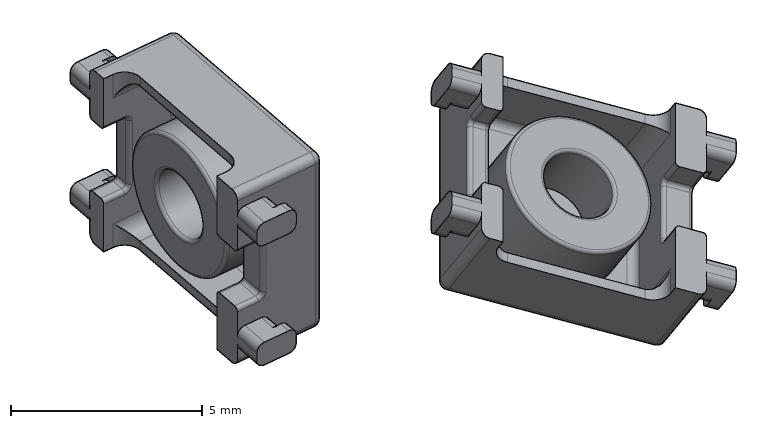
import cadquery as cq

OVERALL_WIDTH = 8.22
BLOCK_WIDTH = 6.5
BLOCK_DEPTH = 2.79
BLOCK_HEIGHT = 5.87
BLOCK_FILLET = 0.25

LEFT_WALL = 0.62
RIGHT_WALL = 0.905
END_WALL = 0.305
FLOOR_THICKNESS = 0.345
CAVITY_CORNER_RADIUS = 0.5
FLOOR_FILLET = 0.25
CAVITY_WIDTH = BLOCK_WIDTH - LEFT_WALL - RIGHT_WALL
CAVITY_HEIGHT = BLOCK_HEIGHT - 2 * END_WALL
CAVITY_X = (LEFT_WALL - RIGHT_WALL) / 2
FLOOR_Y = BLOCK_DEPTH - FLOOR_THICKNESS

NOTCH_DEPTH = 0.805
END_NOTCH_RADIUS = 0.5
LEFT_NOTCH_HEIGHT = 2.4
RIGHT_NOTCH_HEIGHT = 1.89
SIDE_NOTCH_FILLET = 0.12

TAB_HEIGHT = 0.77
TAB_SPACING = 4.06
TAB_ROUND = 0.25
TAB_NECK_DEPTH = 1.03
TAB_HEAD_DEPTH = 1.28
TAB_HEAD_LENGTH = 0.35
TAB_LENGTH = (OVERALL_WIDTH - BLOCK_WIDTH) / 2

COLLAR_DIAMETER = 4.2
COLLAR_BORE = 2.0
COLLAR_FRONT_Y = 0.6
COLLAR_EDGE_FILLET = 0.1

SIDES = (-1, 1)


def box_from_front(width, depth, height, x=0.0, z=0.0):
    """Box centred on (x, z) that reaches back from the plane Y = 0."""
    box = cq.Workplane("XY").box(width, depth, height, centered=(True, False, True))
    return box.translate((x, 0, z))


def make_block():
    block = box_from_front(BLOCK_WIDTH, BLOCK_DEPTH, BLOCK_HEIGHT)
    return block.edges("|Y or >Y").fillet(BLOCK_FILLET)


def make_cavity():
    cavity = box_from_front(CAVITY_WIDTH, FLOOR_Y, CAVITY_HEIGHT, CAVITY_X)
    return cavity.edges("|Y").fillet(CAVITY_CORNER_RADIUS).faces(">Y").edges().fillet(FLOOR_FILLET)


def make_end_notch():
    """Opening as wide as the cavity, through both end walls."""
    notch = box_from_front(CAVITY_WIDTH, NOTCH_DEPTH, BLOCK_HEIGHT, CAVITY_X)
    return notch.edges("|Z and >Y").fillet(END_NOTCH_RADIUS)


def cut_side_notch(body, side, wall, notch_height):
    """Cut an opening through one side wall and round its outer and inner rims."""
    outer_x = side * BLOCK_WIDTH / 2
    inner_x = side * (BLOCK_WIDTH / 2 - wall)
    notch = box_from_front(wall, NOTCH_DEPTH, notch_height, (outer_x + inner_x) / 2)
    body = body.cut(notch.edges("|X and >Y").fillet(SIDE_NOTCH_FILLET))

    margin = 0.01
    for rim_x in (outer_x, inner_x):
        rim = cq.selectors.BoxSelector(
            (rim_x - margin, margin, -notch_height / 2 - margin),
            (rim_x + margin, NOTCH_DEPTH + margin, notch_height / 2 + margin),
        )
        body = body.edges(rim).fillet(SIDE_NOTCH_FILLET)
    return body


def make_tab_bar(depth, length):
    """Bar along X with four rounded long edges, centred on X and Z."""
    return box_from_front(length, depth, TAB_HEIGHT).edges("|X").fillet(TAB_ROUND)


def make_tab(side, z):
    """Neck that leaves the side wall, ending in a deeper head."""
    neck_x = side * (BLOCK_WIDTH + TAB_LENGTH) / 2
    root = LEFT_WALL / 2
    neck = make_tab_bar(TAB_NECK_DEPTH, TAB_LENGTH + root).translate((neck_x - side * root / 2, 0, z))
    head_x = side * (OVERALL_WIDTH - TAB_HEAD_LENGTH) / 2
    head = make_tab_bar(TAB_HEAD_DEPTH, TAB_HEAD_LENGTH).translate((head_x, 0, z))
    return neck.union(head)


def make_housing():
    body = make_block().cut(make_cavity()).cut(make_end_notch())
    body = cut_side_notch(body, -1, LEFT_WALL, LEFT_NOTCH_HEIGHT)
    body = cut_side_notch(body, 1, RIGHT_WALL, RIGHT_NOTCH_HEIGHT)
    for side in SIDES:
        for level in SIDES:
            body = body.union(make_tab(side, level * TAB_SPACING / 2))
    return body


def make_collar():
    """Ring with rounded front edges, its back face resting on the cavity floor."""
    ring = (
        cq.Workplane("XZ", origin=(CAVITY_X, FLOOR_Y, 0))
        .circle(COLLAR_DIAMETER / 2)
        .circle(COLLAR_BORE / 2)
        .extrude(FLOOR_Y - COLLAR_FRONT_Y)
    )
    return ring.faces("<Y").edges().fillet(COLLAR_EDGE_FILLET)


housing = make_housing()
collar = make_collar()
result = cq.Compound.makeCompound([housing.val(), collar.val()])